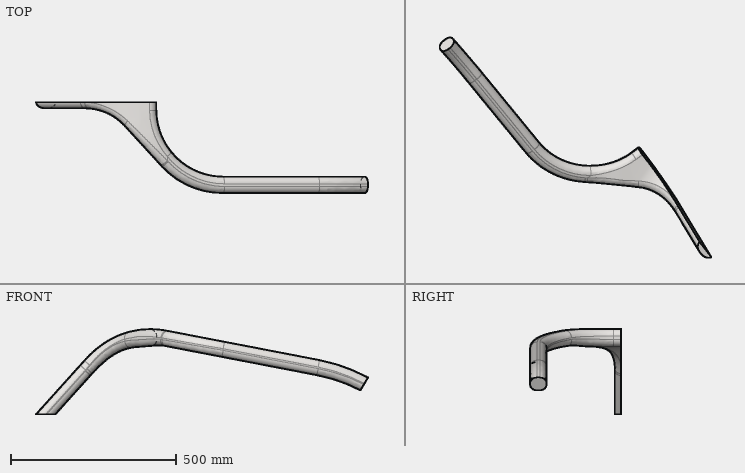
import cadquery as cq
import math

length = 1004.0
width = 275.0
height = 258.0

arm_width = 19.0
grip_width = 50.0
web_end_x = 364.0
inner_bend_radius = 201.0
outer_bend_radius = inner_bend_radius + grip_width
arm_bend_radius = 161.0
diagonal_angle = math.radians(47.5)
grip_start_x = web_end_x + inner_bend_radius
bend_center_y = outer_bend_radius - width

arm_angle = math.radians(48.0)
grip_angle = math.radians(-10.9)
tip_angle = math.radians(-28.0)
foot_length = 59.0
upper_arm_end_x = 147.0
lower_arm_end_x = 171.0
crest_x = 346.0
crest_thickness = 53.0
lower_crest_x = 321.0
upper_grip_start = (396.0, 253.0)
lower_grip_start = (388.0, 207.0)
upper_tip_start_x = 856.0
lower_tip_start_x = 848.0
tip_top_z = 111.0
tip_bottom = (980.0, 72.0)

edge_radius = 21.0
margin = 50.0


def direction(angle):
    """Unit vector in the side profile, with the angle measured from +X."""
    return (math.cos(angle), math.sin(angle))


def along(start, angle, end_x):
    """Point at end_x on the line through start at the given angle."""
    return (end_x, start[1] + (end_x - start[0]) * math.tan(angle))


def bend_point(radius, angle):
    """Point on a grip bend, measured back from its straight grip end."""
    return (
        grip_start_x - radius * math.sin(angle),
        bend_center_y - radius * math.cos(angle),
    )


def arm_bend_point(angle):
    """Point on the arm bend, measured from the end of the straight arm."""
    return (
        arm_bend_start_x + arm_bend_radius * math.sin(angle),
        -arm_width - arm_bend_radius * (1 - math.cos(angle)),
    )


diagonal_end = bend_point(outer_bend_radius, diagonal_angle)
diagonal_corner_x = diagonal_end[0] + (diagonal_end[1] + arm_width) / math.tan(diagonal_angle)
arm_bend_start_x = diagonal_corner_x - arm_bend_radius * math.tan(diagonal_angle / 2)


def plan_solid():
    """Plan outline, overhanging the mating face, raised through the full height."""
    far_x = length + margin
    outline = (
        cq.Workplane("XY")
        .moveTo(-margin, margin)
        .lineTo(-margin, -arm_width)
        .lineTo(arm_bend_start_x, -arm_width)
        .threePointArc(arm_bend_point(diagonal_angle / 2), arm_bend_point(diagonal_angle))
        .lineTo(*diagonal_end)
        .threePointArc(bend_point(outer_bend_radius, diagonal_angle / 2), (grip_start_x, -width))
        .lineTo(far_x, -width)
        .lineTo(far_x, grip_width - width)
        .lineTo(grip_start_x, grip_width - width)
        .threePointArc(bend_point(inner_bend_radius, math.pi / 4), (web_end_x, bend_center_y))
        .lineTo(web_end_x, margin)
        .close()
    )
    return outline.extrude(height + margin)


def side_solid():
    """Side profile extruded across the full width."""
    upper_arm_end = along((0, 0), arm_angle, upper_arm_end_x)
    lower_arm_end = along((foot_length, 0), arm_angle, lower_arm_end_x)
    upper_tip_start = along(upper_grip_start, grip_angle, upper_tip_start_x)
    lower_tip_start = along(lower_grip_start, grip_angle, lower_tip_start_x)
    rise = direction(arm_angle)
    level = (1, 0)
    fall = direction(grip_angle)
    droop = direction(tip_angle)
    reverse_droop = direction(tip_angle + math.pi)
    reverse_level = (-1, 0)
    reverse_fall = direction(grip_angle + math.pi)
    reverse_rise = direction(arm_angle + math.pi)
    outline = (
        cq.Workplane("XZ")
        .lineTo(*upper_arm_end)
        .spline([(crest_x, height), upper_grip_start], tangents=[rise, level, fall], includeCurrent=True)
        .lineTo(*upper_tip_start)
        .spline([(length, tip_top_z)], tangents=[fall, droop], includeCurrent=True)
        .lineTo(*tip_bottom)
        .spline(
            [lower_tip_start],
            tangents=[reverse_droop, reverse_fall],
            includeCurrent=True,
        )
        .lineTo(*lower_grip_start)
        .spline(
            [(lower_crest_x, height - crest_thickness), lower_arm_end],
            tangents=[reverse_fall, reverse_level, reverse_rise],
            includeCurrent=True,
        )
        .lineTo(foot_length, 0)
        .close()
    )
    return outline.extrude(width + 2 * margin).translate((0, margin, 0))


def is_long_edge(edge):
    """True for edges running along the bar, away from its flat ends."""
    box = edge.BoundingBox()
    tolerance = 0.1
    on_overhang_end = box.ymin > margin - tolerance
    on_foot = box.zmax < tolerance
    on_tip = box.xmin > tip_bottom[0] - tolerance
    return not (on_overhang_end or on_foot or on_tip)


bar = plan_solid().intersect(side_solid())
long_edges = [edge for edge in bar.edges().vals() if is_long_edge(edge)]
rounded_bar = bar.newObject(long_edges).fillet(edge_radius)
overhang = cq.Workplane("XY").box(
    length + 2 * margin, 2 * margin, height + 2 * margin, centered=False
).translate((-margin, 0, -margin))
result = rounded_bar.cut(overhang)